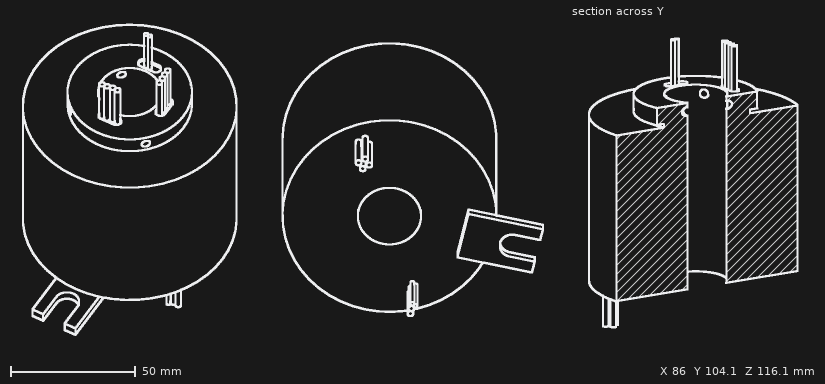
import cadquery as cq

body_diameter = 86.0
body_height = 69.8
bore_diameter = 25.4

neck_diameter = 44.0
neck_height = 1.4
flange_diameter = 50.0
flange_height = 7.3
neck_top = body_height + neck_height
flange_top = neck_top + flange_height

screw_hole_diameter = 3.5
screw_hole_angles = [45, 135, 225, 315]

slot_length = 10.0
slot_width = 4.1
slot_depth = 1.2
slot_radius = 16.0
slot_angles = [0, 90, 270]

bracket_width = 20.0
bracket_thickness = 4.1
bracket_inner_y = -30.3
bracket_outer_y = -61.1
fork_width = 9.9
fork_end_y = -45.6

wire_length = 18.8
power_wire_diameter = 2.3
signal_wire_diameter = 1.6

front_wires = [(-3.7, -15.9), (-1.4, -15.8), (0.9, -15.3), (3.3, -15.4)]
side_wires = [(15.5, 3.6), (15.5, 1.2), (15.8, -1.2), (15.8, -3.6)]
rear_wires = [(-1.5, 15.8), (0.2, 15.8)]

bundle_x = -29.6
bundle_y = 17.3
bundle_radius = 2.2
left_wires = [
    (bundle_x - bundle_radius, bundle_y),
    (bundle_x + bundle_radius, bundle_y),
    (bundle_x, bundle_y - bundle_radius),
    (bundle_x, bundle_y + bundle_radius),
]
right_power_wires = [(29.4, -15.8), (31.7, -15.9)]
right_signal_wires = [(27.2, -15.7), (27.9, -17.2)]


def cylinder(diameter, bottom, height):
    return cq.Workplane("XY").workplane(offset=bottom).circle(diameter / 2).extrude(height)


def wires(centres, diameter, bottom, top):
    base = cq.Workplane("XY").workplane(offset=bottom)
    return base.pushPoints(centres).circle(diameter / 2).extrude(top - bottom)


def housing():
    solid = cylinder(body_diameter, 0, body_height)
    solid = solid.union(cylinder(neck_diameter, body_height, neck_height))
    solid = solid.union(cylinder(flange_diameter, neck_top, flange_height))
    return solid.cut(cylinder(bore_diameter, 0, flange_top))


def screw_hole(angle):
    hole = (
        cq.Workplane("YZ")
        .center(0, neck_top + flange_height / 2)
        .circle(screw_hole_diameter / 2)
        .extrude(flange_diameter / 2)
    )
    return hole.rotate((0, 0, 0), (0, 0, 1), angle)


def outlet_slot(angle):
    slot = (
        cq.Workplane("XY")
        .workplane(offset=flange_top - slot_depth)
        .center(slot_radius, 0)
        .slot2D(slot_length, slot_width, 90)
        .extrude(slot_depth)
    )
    return slot.rotate((0, 0, 0), (0, 0, 1), angle)


def bracket():
    half_width = bracket_width / 2
    half_fork = fork_width / 2
    return (
        cq.Workplane("XY")
        .moveTo(-half_width, bracket_inner_y)
        .lineTo(half_width, bracket_inner_y)
        .lineTo(half_width, bracket_outer_y)
        .lineTo(half_fork, bracket_outer_y)
        .lineTo(half_fork, fork_end_y - half_fork)
        .threePointArc((0, fork_end_y), (-half_fork, fork_end_y - half_fork))
        .lineTo(-half_fork, bracket_outer_y)
        .lineTo(-half_width, bracket_outer_y)
        .close()
        .extrude(-bracket_thickness)
    )


result = housing()
for angle in screw_hole_angles:
    result = result.cut(screw_hole(angle))
for angle in slot_angles:
    result = result.cut(outlet_slot(angle))
result = result.union(bracket())

slot_floor = flange_top - slot_depth
wire_top = flange_top + wire_length
wire_bottom = -wire_length
wire_groups = [
    (front_wires, power_wire_diameter, slot_floor, wire_top),
    (side_wires, power_wire_diameter, slot_floor, wire_top),
    (rear_wires, signal_wire_diameter, slot_floor, wire_top),
    (left_wires, power_wire_diameter, wire_bottom, 0),
    (right_power_wires, power_wire_diameter, wire_bottom, 0),
    (right_signal_wires, signal_wire_diameter, wire_bottom, 0),
]
for centres, diameter, bottom, top in wire_groups:
    result = result.union(wires(centres, diameter, bottom, top))